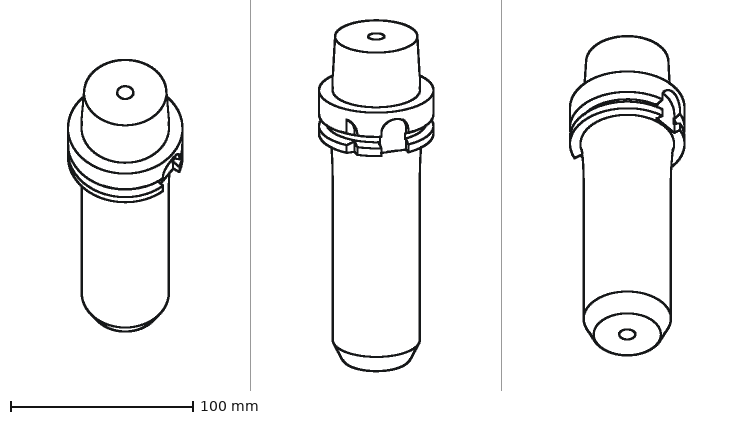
import cadquery as cq
import math

total_height = 192.0
flange_top = 160.0
flange_bottom = 134.0
taper_bottom = 166.5
neck_top = 132.3
neck_bottom = 107.5
nose_top = 11.0
nose_chamfer_height = 1.2

taper_top_radius = 22.7
shank_radius = 24.0
flange_radius = 31.5
neck_top_radius = 25.2
neck_collar_radius = 25.7
nose_radius = 19.4
nose_end_radius = 18.5
bore_radius = 4.5

groove_radius = 27.5
groove_middle = 142.0
groove_floor_width = 3.0
groove_mouth_width = 7.0

slot_width = 15.7
slot_floor_x = 26.5
slot_crown = 155.3

notch_floor_x = 20.0
notch_inner_y = 19.8
notch_radius = 7.9
notch_crown = 154.5


def turned_body():
    """Revolve the half section, with the neck flaring into the flange as a tangent arc."""
    flare = neck_top_radius - shank_radius
    flare_height = neck_top - neck_bottom
    arc_radius = (flare_height**2 + flare**2) / (2 * flare)
    half_height = flare_height / 2
    mid_flare = arc_radius - math.sqrt(arc_radius**2 - half_height**2)
    half_mouth = groove_mouth_width / 2
    half_floor = groove_floor_width / 2
    return (
        cq.Workplane("XZ")
        .moveTo(bore_radius, 0)
        .lineTo(nose_end_radius, 0)
        .lineTo(nose_radius, nose_chamfer_height)
        .lineTo(shank_radius, nose_top)
        .lineTo(shank_radius, neck_bottom)
        .threePointArc(
            (shank_radius + mid_flare, neck_bottom + half_height),
            (neck_top_radius, neck_top),
        )
        .lineTo(neck_collar_radius, flange_bottom)
        .lineTo(flange_radius, flange_bottom)
        .lineTo(flange_radius, groove_middle - half_mouth)
        .lineTo(groove_radius, groove_middle - half_floor)
        .lineTo(groove_radius, groove_middle + half_floor)
        .lineTo(flange_radius, groove_middle + half_mouth)
        .lineTo(flange_radius, flange_top)
        .lineTo(shank_radius, flange_top)
        .lineTo(shank_radius, taper_bottom)
        .lineTo(taper_top_radius, total_height)
        .lineTo(bore_radius, total_height)
        .close()
        .revolve(360, (0, 0), (0, 1))
    )


def round_topped_cutter(floor_x, center_y, radius, crown):
    """Cutter open at the flange bottom, reaching from its floor out past the -X side."""
    arc_center_z = crown - radius
    return (
        cq.Workplane("YZ", origin=(-floor_x, 0, 0))
        .moveTo(center_y - radius, flange_bottom)
        .lineTo(center_y - radius, arc_center_z)
        .threePointArc((center_y, crown), (center_y + radius, arc_center_z))
        .lineTo(center_y + radius, flange_bottom)
        .close()
        .extrude(-flange_radius)
    )


result = turned_body()

drive_slot = round_topped_cutter(slot_floor_x, 0, slot_width / 2, slot_crown)
for angle in (0, 180):
    result = result.cut(drive_slot.rotate((0, 0, 0), (0, 0, 1), angle))

notch_center_y = notch_inner_y + notch_radius
result = result.cut(round_topped_cutter(notch_floor_x, notch_center_y, notch_radius, notch_crown))